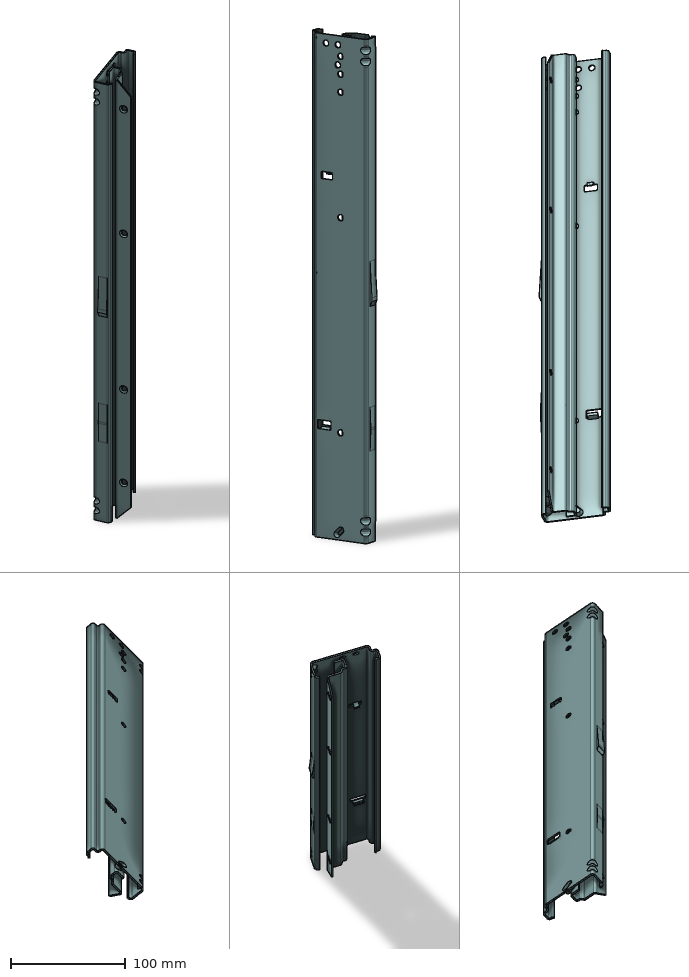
import cadquery as cq
import math

LENGTH = 450.0
SHEET = 1.5
HALF = SHEET / 2
TOTAL_WIDTH = 31.5
TOTAL_HEIGHT = 62.5
BEND = 2.25
CURL_BEND = 1.0

STOP_HEIGHT = 1.9
LIP_BOTTOM_Y = STOP_HEIGHT
LIP_Y = LIP_BOTTOM_Y + HALF
LIP_CURL_X = 13.8
LIP_END_X = 15.8
LIP_STEP_Y = 4.6
LIP_TOP_Y = 6.3
WEB_TOP_Y = 55.9
HOOK_LEFT_X = 6.35
HOOK_RIGHT_X = 14.4
HOOK_TOP_Y = TOTAL_HEIGHT - HALF
HOOK_BEND = 1.75
HOOK_KICK = (15.6, 57.0)
HOOK_KICK_START_Y = 58.4

RAIL_TOP_Y = 31.25
RAIL_LEG_END_Y = 22.5
RAIL_JOG_TOP_Y = 27.3
RAIL_JOG_BOTTOM_Y = 24.9
RAIL_WALL_X = 17.25
FLANGE_Y = 12.9
FLANGE_BEND = 1.5

FLANGE_HOLE_ZS = (38.0, 134.0, 294.0, 422.0)
FLANGE_HOLE_X = 24.7
FLANGE_HOLE_DIAMETER = 5.0
FLANGE_SINK_DIAMETER = 7.6
FLANGE_SINK_ANGLE = 90
END_CUT_X = 13.0
END_CUT_Z = 14.0

WEB_HOLE_DIAMETER = 5.5
ROW_Y = 29.2
UPPER_Y = 31.9
WEB_HOLES = [(ROW_Y, z) for z in (96.0, 288.0, 400.0, 416.0, 432.0)]
WEB_HOLES += [(UPPER_Y, 424.0), (UPPER_Y, 442.0), (44.1, 442.0)]

WINDOWS = [
    (43.2, 323.8, 12.0, 6.5, 43.6, 5.0, 1),
    (45.8, 101.0, 14.0, 8.0, 45.6, 9.5, -1),
]
WINDOW_CORNER = 1.5
TAB_DEPTH = 5.5
TAB_SLOPE = 1.6
TAB_TIP = 1.2

GUSSET_FROM_END = (10.0, 20.0)
GUSSET_RADIUS = 3.2
GUSSET_INSET = 0.95
GUSSET_ROD = 40.0
GUSSET_SPAN = 10.0

BOSS_Y = 30.6
BOSS_Z = 7.0
BOSS_LENGTH = 13.5
BOSS_WIDTH = 8.0
BOSS_TAPER = 22
BOSS_ANGLE = -45
BOSS_TOP_X = 5.5
BOSS_WALL = 1.0

STOP_LEFT_X = 5.5
STOP_RIGHT_X = LIP_CURL_X
END_STOP_HEIGHT = 0.8
LATCH_STOP = [(0, 251.4), (STOP_HEIGHT, 219.0), (STOP_HEIGHT, 215.5), (0, 211.0)]
END_STOP = [(0, 121.0), (END_STOP_HEIGHT, 102.8), (END_STOP_HEIGHT, 101.0), (0, 82.0)]


def bent_section(path, radii):
    """Sheet of constant thickness along a mid-line whose inner points are bends of given radii."""
    directions = []
    for (x0, y0), (x1, y1) in zip(path, path[1:]):
        run = math.hypot(x1 - x0, y1 - y0)
        directions.append(((x1 - x0) / run, (y1 - y0) / run))

    def beside(point, direction, offset):
        return (point[0] - direction[1] * offset, point[1] + direction[0] * offset)

    def side(offset):
        spans = []
        for corner, before, after, radius in zip(path[1:], directions, directions[1:], radii):
            turn = math.atan2(before[0] * after[1] - before[1] * after[0],
                              before[0] * after[0] + before[1] * after[1])
            setback = radius * abs(math.tan(turn / 2))
            begin = (corner[0] - before[0] * setback, corner[1] - before[1] * setback)
            end = (corner[0] + after[0] * setback, corner[1] + after[1] * setback)
            hand = math.copysign(1, turn)
            centre = beside(begin, before, hand * radius)
            heading = math.atan2(before[1], before[0]) + turn / 2
            halfway = (math.cos(heading), math.sin(heading))
            middle = beside(centre, halfway, offset - hand * radius)
            spans.append((beside(begin, before, offset), middle, beside(end, after, offset)))
        return spans

    outline = cq.Workplane("XY").moveTo(*beside(path[0], directions[0], HALF))
    for begin, middle, end in side(HALF):
        outline = outline.lineTo(*begin).threePointArc(middle, end)
    outline = outline.lineTo(*beside(path[-1], directions[-1], HALF))
    outline = outline.lineTo(*beside(path[-1], directions[-1], -HALF))
    for begin, middle, end in reversed(side(-HALF)):
        outline = outline.lineTo(*end).threePointArc(middle, begin)
    outline = outline.lineTo(*beside(path[0], directions[0], -HALF))
    return outline.close().extrude(LENGTH)


def web_plane(x=0.0):
    """Sketch plane parallel to the web, with local axes Y and Z."""
    return cq.Workplane("YZ", origin=(x, 0, 0))


def runner_profile():
    path = [
        (LIP_END_X, LIP_TOP_Y),
        (LIP_END_X, LIP_STEP_Y),
        (LIP_CURL_X, LIP_Y),
        (HALF, LIP_Y),
        (HALF, WEB_TOP_Y),
        (HOOK_LEFT_X, WEB_TOP_Y),
        (HOOK_LEFT_X, HOOK_TOP_Y),
        (HOOK_RIGHT_X, HOOK_TOP_Y),
        (HOOK_RIGHT_X, HOOK_KICK_START_Y),
        HOOK_KICK,
    ]
    radii = [CURL_BEND, CURL_BEND, BEND, BEND, BEND, HOOK_BEND, HOOK_BEND, CURL_BEND]
    return bent_section(path, radii)


def window(y, z, width, height):
    cutter = web_plane().center(y, z).rect(width, height).extrude(SHEET)
    return cutter.edges("|X").fillet(WINDOW_CORNER)


def joggled_tab(y, root, width, side):
    """Tab that slopes inward from the window edge at `root` and ends parallel to the web."""
    bend = root - side * TAB_SLOPE
    tip = bend - side * TAB_TIP
    outer_root = root + side * SHEET
    outer_bend = bend + side * SHEET
    points = [
        (HALF, root),
        (TAB_DEPTH - SHEET, bend),
        (TAB_DEPTH - SHEET, tip),
        (TAB_DEPTH, tip),
        (TAB_DEPTH, outer_bend),
        (SHEET, outer_root),
        (HALF, outer_root),
    ]
    sketch = cq.Workplane("XZ", origin=(0, y + width / 2, 0))
    return sketch.polyline(points).close().extrude(width)


def gusset_rod(z, radius):
    """Rod laid diagonally across the corner between web and lip."""
    middle = cq.Vector(GUSSET_INSET, LIP_BOTTOM_Y + GUSSET_INSET, z)
    along = cq.Vector(1, -1, 0).normalized()
    return cq.Workplane(cq.Solid.makeCylinder(radius, GUSSET_ROD, middle - along * GUSSET_ROD / 2, along))


def corner_zone(z):
    """Block inside the rounded outer corner between web and lip, centred at height z."""
    zone = cq.Workplane("XY", origin=(0, LIP_BOTTOM_Y, z))
    zone = zone.box(GUSSET_SPAN, GUSSET_SPAN, GUSSET_SPAN, centered=(False, False, True))
    return zone.edges("|Z").edges("<X").edges("<Y").fillet(BEND + HALF)


def boss(face_x, height, shrink):
    """Tapered slot-shaped block on the web, smaller by `shrink` when used for the pocket behind it."""
    plane = web_plane(face_x).center(BOSS_Y, BOSS_Z).transformed(rotate=(0, 0, BOSS_ANGLE))
    sketch = plane.slot2D(BOSS_LENGTH - shrink, BOSS_WIDTH - shrink)
    return sketch.extrude(height, taper=BOSS_TAPER)


def stop(points):
    """Pressed stop under the lip, extruded along X from its side profile."""
    profile = [(LIP_BOTTOM_Y - drop, z) for drop, z in points]
    sketch = web_plane(STOP_LEFT_X)
    return sketch.polyline(profile).close().extrude(STOP_RIGHT_X - STOP_LEFT_X)


def make_runner():
    body = runner_profile()
    for from_end in GUSSET_FROM_END:
        for z in (from_end, LENGTH - from_end):
            body = body.union(gusset_rod(z, GUSSET_RADIUS + SHEET).intersect(corner_zone(z)))
            body = body.cut(gusset_rod(z, GUSSET_RADIUS))
    body = body.cut(web_plane().pushPoints(WEB_HOLES).circle(WEB_HOLE_DIAMETER / 2).extrude(SHEET))
    for y, z, width, height, tab_y, tab_width, side in WINDOWS:
        body = body.cut(window(y, z, width, height))
        body = body.union(joggled_tab(tab_y, z + side * height / 2, tab_width, side))
    body = body.union(boss(HALF, BOSS_TOP_X - HALF, 0))
    body = body.cut(boss(0, BOSS_TOP_X - SHEET, 2 * BOSS_WALL))
    body = body.union(stop(LATCH_STOP)).union(stop(END_STOP))
    return body


def rail_profile():
    path = [
        (HOOK_LEFT_X, RAIL_LEG_END_Y),
        (HOOK_LEFT_X, RAIL_TOP_Y),
        (HOOK_RIGHT_X, RAIL_TOP_Y),
        (HOOK_RIGHT_X, RAIL_JOG_TOP_Y),
        (RAIL_WALL_X, RAIL_JOG_BOTTOM_Y),
        (RAIL_WALL_X, FLANGE_Y),
        (TOTAL_WIDTH, FLANGE_Y),
    ]
    radii = [HOOK_BEND, HOOK_BEND, CURL_BEND, CURL_BEND, FLANGE_BEND]
    return bent_section(path, radii)


def end_cut():
    """Wedge that takes the outer corner off the lower end of the flange."""
    corner = [(TOTAL_WIDTH, 0), (TOTAL_WIDTH - END_CUT_X, 0), (TOTAL_WIDTH, END_CUT_Z)]
    return cq.Workplane("XZ").polyline(corner).close().extrude(-RAIL_TOP_Y)


def make_rail():
    body = rail_profile()
    body = body.cut(end_cut())
    body = body.cut(end_cut().mirror("XY", (0, 0, LENGTH / 2)))
    flange_face = cq.Workplane("XZ", origin=(0, FLANGE_Y - HALF, 0))
    holes = body.copyWorkplane(flange_face).pushPoints([(FLANGE_HOLE_X, z) for z in FLANGE_HOLE_ZS])
    return holes.cskHole(FLANGE_HOLE_DIAMETER, FLANGE_SINK_DIAMETER, FLANGE_SINK_ANGLE)


runner = make_runner()
rail = make_rail()
result = cq.Compound.makeCompound([runner.val(), rail.val()])